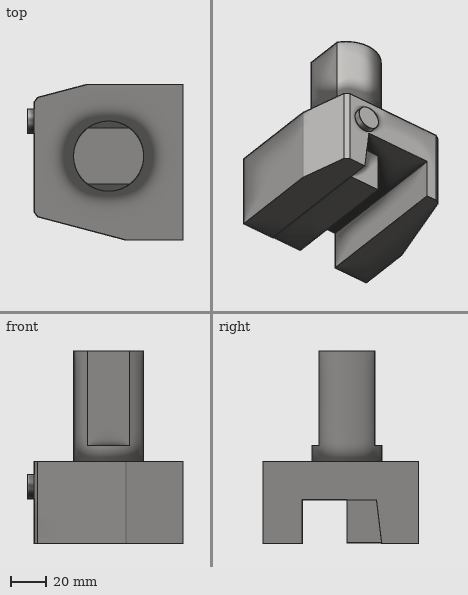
import cadquery as cq

housing_length = 85.0
housing_height = 47.0
left_x = -housing_length / 2
right_x = housing_length / 2
back_y = 41.0
front_y = -48.0
corner_setback = 2.0
corner_width = 2.8
left_face_back_y = 30.8
left_face_front_y = -31.9
back_taper_end_x = -12.1
front_taper_end_x = 9.9

total_height = 110.0
shank_diameter = 40.0
flat_spacing = 32.0
collar_height = 9.1

boss_diameter = 14.0
boss_length = 3.8
boss_y = 20.0
boss_z = 32.5

slot_height = 25.0
slot_front_y = -25.3
slot_back_top_y = 16.9
slot_back_bottom_y = 19.9
wedge_front_y = 0.0
wedge_bottom_z = 0.4
wedge_setback = 13.2


def make_block():
    bevel_x = left_x + corner_setback
    outline = [
        (left_x, left_face_front_y),
        (bevel_x, left_face_front_y - corner_width),
        (front_taper_end_x, front_y),
        (right_x, front_y),
        (right_x, back_y),
        (back_taper_end_x, back_y),
        (bevel_x, left_face_back_y + corner_width),
        (left_x, left_face_back_y),
    ]
    return cq.Workplane("XY").polyline(outline).close().extrude(housing_height)


def make_shank():
    shank = (
        cq.Workplane("XY", origin=(0, 0, housing_height))
        .circle(shank_diameter / 2)
        .extrude(total_height - housing_height)
    )
    flat_bottom_z = housing_height + collar_height
    flatted_envelope = (
        cq.Workplane("XY", origin=(0, 0, flat_bottom_z))
        .rect(shank_diameter, flat_spacing)
        .extrude(total_height - flat_bottom_z)
    )
    collar_envelope = (
        cq.Workplane("XY", origin=(0, 0, housing_height))
        .rect(shank_diameter, shank_diameter)
        .extrude(collar_height)
    )
    return shank.intersect(flatted_envelope.union(collar_envelope))


def make_boss():
    return (
        cq.Workplane("YZ", origin=(left_x - boss_length, boss_y, boss_z))
        .circle(boss_diameter / 2)
        .extrude(boss_length)
    )


def sloped_wall_y(z):
    """Y position of the sloped slot wall at height z."""
    return slot_back_bottom_y + (slot_back_top_y - slot_back_bottom_y) * z / slot_height


def make_channel(start_x, front_wall_y, bottom_z):
    """Bar under the slot roof, bounded by the sloped wall, reaching the right face."""
    section = [
        (front_wall_y, bottom_z),
        (sloped_wall_y(bottom_z), bottom_z),
        (slot_back_top_y, slot_height),
        (front_wall_y, slot_height),
    ]
    return (
        cq.Workplane("YZ", origin=(start_x, 0, 0))
        .polyline(section)
        .close()
        .extrude(right_x - start_x)
    )


def make_housing():
    slot = make_channel(left_x, slot_front_y, 0)
    return make_block().cut(slot).union(make_shank()).union(make_boss())


def make_wedge():
    return make_channel(left_x + wedge_setback, wedge_front_y, wedge_bottom_z)


housing = make_housing()
wedge = make_wedge()

result = cq.Compound.makeCompound([housing.solids().val(), wedge.val()])